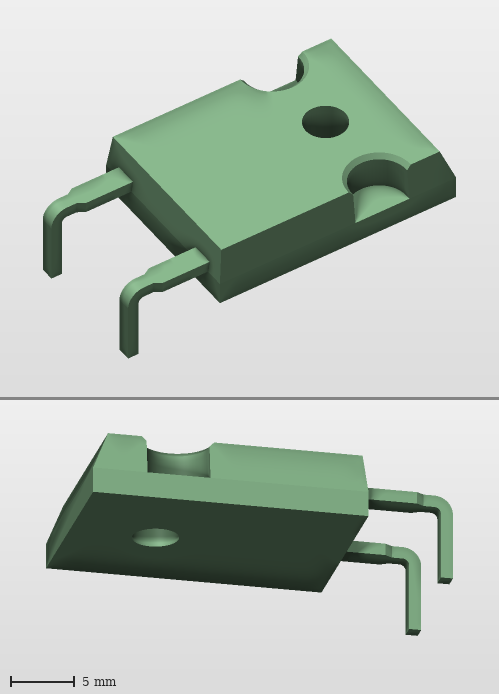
import cadquery as cq

width = 16.2
overall_length = 29.35
lead_reach = 7.25
length = overall_length - lead_reach
base_height = 2.05
total_height = 5.23
side_slope = 0.38
front_slope = 0.38
back_slope = 1.3

hole_diameter = 3.7
hole_to_back = 6.9
hole_y = length - hole_to_back
notch_radius = 2.52
notch_depth = 3.0
notch_chamfer = 0.38

lead_offset = 5.45
lead_top = 3.08
lead_thickness = 0.97
lead_bottom = -3.8
shank_width = 2.0
tip_width = 1.23
taper_start = 4.3
shank_end = 4.9
bend_outer_radius = 1.5
bend_inner_radius = bend_outer_radius - lead_thickness


def make_upper_block():
    """Frustum whose back face slopes more than the other three."""
    top_length = length - front_slope - back_slope
    top_middle = front_slope + top_length / 2
    return (
        cq.Workplane("XY", origin=(0, length / 2, base_height))
        .rect(width, length)
        .workplane(offset=total_height - base_height)
        .center(0, top_middle - length / 2)
        .rect(width - 2 * side_slope, top_length)
        .loft(ruled=True)
    )


def make_slot(side, radius, z):
    """Outline at height z of a round-ended slot that runs out through one side (+1 or -1)."""
    center_x = side * (width / 2 - notch_depth + notch_radius)
    outside_x = side * width
    return (
        cq.Workplane("XY", origin=(0, hole_y, z))
        .moveTo(outside_x, radius)
        .lineTo(center_x, radius)
        .threePointArc((center_x - side * radius, 0), (center_x, -radius))
        .lineTo(outside_x, -radius)
        .close()
    )


def make_notch_cutter(side):
    """Side notch down to the base, with a chamfered top rim."""
    rim_bottom = total_height - notch_chamfer
    notch = make_slot(side, notch_radius, base_height).extrude(total_height - base_height)
    rim_outlines = [
        make_slot(side, notch_radius, rim_bottom).wire().val(),
        make_slot(side, notch_radius + notch_chamfer, total_height).wire().val(),
    ]
    rim = cq.Solid.makeLoft(rim_outlines, True)
    return notch.union(cq.Workplane(rim))


def make_housing():
    base = cq.Workplane("XY", origin=(0, length / 2, 0)).rect(width, length).extrude(base_height)
    body = base.union(make_upper_block())
    hole = cq.Workplane("XY", origin=(0, hole_y, 0)).circle(hole_diameter / 2).extrude(total_height)
    body = body.cut(hole)
    for side in (-1, 1):
        body = body.cut(make_notch_cutter(side))
    return body


def make_shank(x, housing):
    """Wide flat of a lead, butting against the sloped front face and tapering to the tip width."""
    half_width = shank_width / 2
    half_tip = tip_width / 2
    blank = (
        cq.Workplane("XY", origin=(x, 0, lead_top - lead_thickness))
        .polyline([
            (-half_width, front_slope),
            (half_width, front_slope),
            (half_width, -taper_start),
            (half_tip, -shank_end),
            (-half_tip, -shank_end),
            (-half_width, -taper_start),
        ])
        .close()
        .extrude(lead_thickness)
    )
    return blank.cut(housing)


def make_tip(x):
    """Narrow end of a lead, bent down through a right angle."""
    lead_underside = lead_top - lead_thickness
    inner_y = -lead_reach + lead_thickness
    return (
        cq.Workplane("YZ", origin=(x - tip_width / 2, 0, 0))
        .moveTo(-shank_end, lead_top)
        .lineTo(-lead_reach + bend_outer_radius, lead_top)
        .radiusArc((-lead_reach, lead_top - bend_outer_radius), -bend_outer_radius)
        .lineTo(-lead_reach, lead_bottom)
        .lineTo(inner_y, lead_bottom)
        .lineTo(inner_y, lead_underside - bend_inner_radius)
        .radiusArc((inner_y + bend_inner_radius, lead_underside), bend_inner_radius)
        .lineTo(-shank_end, lead_underside)
        .close()
        .extrude(tip_width)
    )


housing = make_housing()
shanks = []
tips = []
for lead_x in (-lead_offset, lead_offset):
    shanks.append(make_shank(lead_x, housing).val())
    tips.append(make_tip(lead_x).val())

result = cq.Compound.makeCompound([housing.val(), *shanks, *tips])